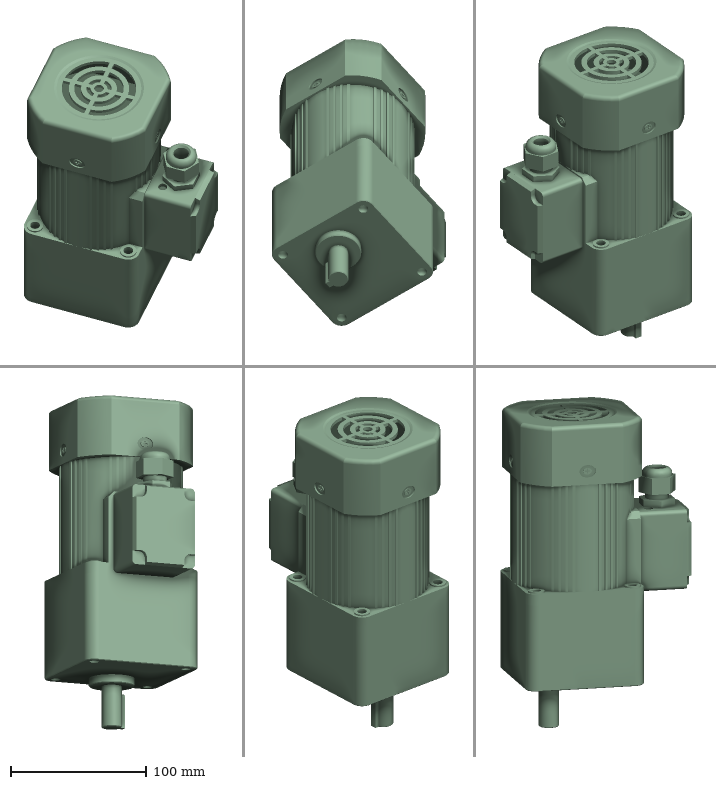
import cadquery as cq
import math

boss_bottom = 31.0
gearbox_bottom = 37.0
flange_bottom = 102.1
flange_top = 110.7
cover_bottom = 192.0
cover_top = 237.0

gearbox_width = 90.0
gearbox_corner_radius = 8.5
edge_chamfer = 0.6
shaft_offset_x = -17.8
boss_diameter = 34.0
shaft_diameter = 15.0
key_width = 5.0
key_length = 25.5
key_outer_y = 9.7

bolt_spacing = 73.5
bolt_hole_diameter = 7.0
bolt_pad_diameter = 12.0
bolt_pad_height = 1.2

barrel_radius = 45.0
rib_sectors = 8
ribs_per_sector = 4
rib_pitch_angle = 6.6
rib_width = 2.0
rib_height = 0.83
rib_root = 2.4

cover_width = 93.0
cover_corner_radius = 53.8
cover_wall = 3.3
cover_top_fillet = 3.3
end_shield_top = 202.5

grille_recess_depth = 0.7
grille_recess_top_radius = 33.2
grille_recess_floor_radius = 31.3
grille_centre_radius = 3.5
grille_rings = [(6.2, 9.2), (13.3, 18.2), (22.3, 27.5)]
grille_spoke_width = 3.3

screw_height = 202.2
screw_seat_length = 12.3
screw_seat_height = 9.5
screw_seat_depth = 1.2
screw_head_length = 6.6
screw_head_height = 5.0
screw_head_rise = 0.7
cross_slot_length = 3.8
cross_slot_width = 1.0

box_width = 50.0
box_bottom = 103.3
box_top = 163.5
box_inner_x = gearbox_width / 2
box_outer_x = 81.3
box_fillet = 3.0
saddle_width = 58.0
saddle_top = 164.7
saddle_chamfer = 4.7
saddle_inner_x = 33.2
plug_hole_x = 55.0
plug_hole_y = -13.0
plug_hole_diameter = 6.6
plug_hole_depth = 3.0

lid_outer_x = 85.0
lid_draft_angle = 22.0
lid_notch_size = 10.0
lid_notch_fillet = 5.0

gland_x = 64.7
hex_across_flats = 24.2
hex_across_corners = hex_across_flats / math.cos(math.pi / 6)
base_hex_turn = 30.0
gland_base_top = 168.5
gland_neck_top = 173.2
gland_nut_top = 185.5
gland_top = 191.7
gland_neck_diameter = 17.5
gland_dome_diameter = 22.5
gland_dome_fillet = 4.5
gland_bore_diameter = 11.4
gland_bore_chamfer = 1.5


def cylinder(radius, bottom, top, x=0.0, y=0.0):
    return cq.Workplane("XY", origin=(x, y, bottom)).circle(radius).extrude(top - bottom)


def block(x_range, y_range, z_range):
    size = [high - low for low, high in (x_range, y_range, z_range)]
    corner = (x_range[0], y_range[0], z_range[0])
    return cq.Workplane("XY", origin=corner).box(*size, centered=False)


def square_block(width, bottom, top):
    half = width / 2
    return block((-half, half), (-half, half), (bottom, top))


def gearbox_section(bottom, top):
    return square_block(gearbox_width, bottom, top).edges("|Z").fillet(gearbox_corner_radius)


def at_bolt_holes(bottom, top, diameter):
    pattern = cq.Workplane("XY", origin=(0, 0, bottom)).rect(bolt_spacing, bolt_spacing, forConstruction=True)
    return pattern.vertices().circle(diameter / 2).extrude(top - bottom)


def make_key():
    """Key standing on the +Y side of the shaft, rounded at its upper end."""
    radius = key_width / 2
    straight = key_length - radius
    key = block((shaft_offset_x - radius, shaft_offset_x + radius), (0, key_outer_y), (0, straight))
    round_end = (
        cq.Workplane("XZ", origin=(shaft_offset_x, 0, straight)).circle(radius).extrude(-key_outer_y)
    )
    return key.union(round_end)


def make_gearbox():
    housing = gearbox_section(gearbox_bottom, flange_bottom).faces("<Z").chamfer(edge_chamfer)
    boss = cylinder(boss_diameter / 2, boss_bottom, gearbox_bottom, shaft_offset_x)
    boss = boss.faces("<Z").chamfer(edge_chamfer)
    shaft = cylinder(shaft_diameter / 2, 0, boss_bottom, shaft_offset_x).faces("<Z").chamfer(edge_chamfer)
    housing = housing.cut(at_bolt_holes(gearbox_bottom, flange_bottom, bolt_hole_diameter))
    return housing.union(boss).union(shaft).union(make_key())


def make_ribs():
    """Ribs along the barrel, in groups that leave plain strips between them."""
    rib = block(
        (barrel_radius - rib_root, barrel_radius + rib_height),
        (-rib_width / 2, rib_width / 2),
        (flange_top, cover_bottom),
    )
    sector_angle = 360 / rib_sectors
    ribs = cq.Workplane("XY")
    for sector in range(rib_sectors):
        for number in range(ribs_per_sector):
            offset = (number - (ribs_per_sector - 1) / 2) * rib_pitch_angle
            angle = (sector + 0.5) * sector_angle + offset
            ribs = ribs.add(rib.rotate((0, 0, 0), (0, 0, 1), angle))
    return ribs.combine()


def cover_section(inset, bottom, top):
    """Square section with its corners rounded off about the motor axis."""
    square = square_block(cover_width - 2 * inset, bottom, top)
    return square.intersect(cylinder(cover_corner_radius - inset, bottom, top))


def make_motor():
    flange = gearbox_section(flange_bottom, flange_top)
    barrel = cylinder(barrel_radius, flange_top, cover_bottom).union(make_ribs())
    pads = at_bolt_holes(flange_top, flange_top + bolt_pad_height, bolt_pad_diameter)
    holes = at_bolt_holes(flange_bottom, flange_top + bolt_pad_height, bolt_hole_diameter)
    end_shield = cover_section(cover_wall, cover_bottom, end_shield_top)
    return flange.union(pads).cut(holes).union(barrel).union(end_shield)


def make_grille_openings():
    """Round centre opening and rings of slots, parted by four spokes."""
    bottom = cover_top - cover_wall
    slots = cq.Workplane("XY")
    for inner, outer in grille_rings:
        slots = slots.add(cylinder(outer, bottom, cover_top).cut(cylinder(inner, bottom, cover_top)))
    half_spoke = grille_spoke_width / 2
    reach = grille_recess_floor_radius
    spokes = block((-reach, reach), (-half_spoke, half_spoke), (bottom, cover_top))
    spokes = spokes.union(block((-half_spoke, half_spoke), (-reach, reach), (bottom, cover_top)))
    return slots.combine().cut(spokes).union(cylinder(grille_centre_radius, bottom, cover_top))


def make_grille_recess():
    floor = cq.Workplane("XY", origin=(0, 0, cover_top - grille_recess_depth))
    return (
        floor.circle(grille_recess_floor_radius)
        .workplane(offset=grille_recess_depth)
        .circle(grille_recess_top_radius)
        .loft(ruled=True)
    )


def make_screw_seat():
    """Oval recess on the -Y side around a cross-slotted screw head."""
    floor_y = screw_seat_depth - cover_width / 2
    floor = cq.Workplane("XZ", origin=(0, floor_y, screw_height))
    head = floor.ellipse(screw_head_length / 2, screw_head_height / 2).extrude(screw_head_rise)
    cross = floor.rect(cross_slot_length, cross_slot_width).extrude(screw_head_rise)
    cross = cross.union(floor.rect(cross_slot_width, cross_slot_length).extrude(screw_head_rise))
    seat = floor.ellipse(screw_seat_length / 2, screw_seat_height / 2).extrude(screw_seat_depth)
    return seat.cut(head.cut(cross))


def make_fan_cover():
    shell = cover_section(0, cover_bottom, cover_top).faces(">Z").edges().fillet(cover_top_fillet)
    shell = shell.cut(cover_section(cover_wall, cover_bottom, cover_top - cover_wall))
    shell = shell.cut(make_grille_recess()).cut(make_grille_openings())
    seat = make_screw_seat()
    for side in range(4):
        shell = shell.cut(seat.rotate((0, 0, 0), (0, 0, 1), 90 * side))
    return shell


def make_terminal_box(motor):
    box_half = box_width / 2
    box = block((box_inner_x, box_outer_x), (-box_half, box_half), (box_bottom, box_top))
    box = box.edges("|X").fillet(box_fillet)
    plug_hole_floor = box_top - plug_hole_depth
    box = box.cut(cylinder(plug_hole_diameter / 2, plug_hole_floor, box_top, plug_hole_x, plug_hole_y))
    saddle_half = saddle_width / 2
    saddle = block((saddle_inner_x, box_inner_x), (-saddle_half, saddle_half), (flange_top, saddle_top))
    saddle = saddle.edges("|X and >Z").chamfer(saddle_chamfer)
    return box.union(saddle.cut(motor))


def make_lid():
    """Tapered plate with a round-bottomed notch at each corner."""
    thickness = lid_outer_x - box_outer_x
    height = box_top - box_bottom
    middle = cq.Workplane("YZ", origin=(box_outer_x, 0, (box_top + box_bottom) / 2))
    plate = middle.rect(box_width, height).extrude(thickness, taper=lid_draft_angle)
    notches = (
        middle.rect(box_width, height, forConstruction=True)
        .vertices()
        .rect(2 * lid_notch_size, 2 * lid_notch_size)
        .extrude(thickness)
        .edges("|X")
        .fillet(lid_notch_fillet)
    )
    return plate.cut(notches)


def hexagon(bottom, top, turn):
    prism = cq.Workplane("XY").polygon(6, hex_across_corners).extrude(top - bottom)
    return prism.rotate((0, 0, 0), (0, 0, 1), turn).translate((gland_x, 0, bottom))


def make_cable_gland():
    dome = cylinder(gland_dome_diameter / 2, gland_nut_top, gland_top, gland_x)
    dome = dome.faces(">Z").edges().fillet(gland_dome_fillet)
    gland = hexagon(box_top, gland_base_top, base_hex_turn)
    gland = gland.union(cylinder(gland_neck_diameter / 2, gland_base_top, gland_neck_top, gland_x))
    gland = gland.union(hexagon(gland_neck_top, gland_nut_top, 0)).union(dome)
    gland = gland.cut(cylinder(gland_bore_diameter / 2, box_top, gland_top, gland_x))
    bore_rim = cq.selectors.RadiusNthSelector(0)
    return gland.faces(">Z").edges(bore_rim).chamfer(gland_bore_chamfer)


gearbox = make_gearbox()
motor = make_motor()
fan_cover = make_fan_cover()
terminal_box = make_terminal_box(motor)
lid = make_lid()
cable_gland = make_cable_gland()

result = cq.Compound.makeCompound(
    [
        gearbox.val(),
        motor.val(),
        fan_cover.val(),
        terminal_box.val(),
        lid.val(),
        cable_gland.val(),
    ]
)